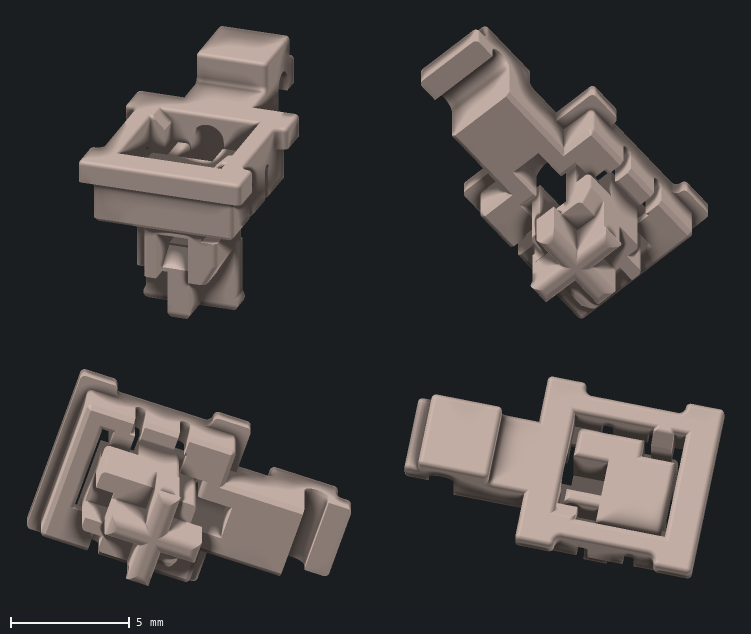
import cadquery as cq
EDGE = 0.2
BOTTOM_CHAMFER = 0.19

TINY = 0.001

PLATE_HALF_X = 3.65
PLATE_SOUTH = -4.45
PLATE_NORTH = 3.16
PLATE_TOP = 7.99
PLATE_BOTTOM = 6.99

SKIRT_HALF_X = 3.15
SKIRT_SOUTH = -4.0
SKIRT_NORTH = 2.66
SKIRT_BOTTOM = 5.0

WAIST_SOUTH = -2.8
WAIST_NORTH = 1.5
WAIST_RADIUS = PLATE_HALF_X - EDGE - SKIRT_HALF_X

ARM_HALF_X = 1.6
ARM_NORTH = 6.21
ARM_TOP = 9.3
BUTTON_SOUTH = 4.72
BUTTON_NORTH = 7.76
LIP_NORTH = 8.35
LIP_TOP = 8.14
LIP_BOTTOM = 6.9
PIVOT_NORTH = 7.3
PIVOT_RADIUS = (PIVOT_NORTH - ARM_NORTH) / 2
PIVOT_Z = 7.45

POCKET_HALF_X = 2.25
POCKET_SOUTH = -3.05
POCKET_NORTH = 1.74

HOOK_TIP = 1.61
HOOK_TIP_Z = 7.4
EAST_HOOK_SOUTH = -2.55
EAST_HOOK_NORTH = -1.66
WEST_HOOK_SOUTH = 0.85

NE_STOP_WEST = 1.48
NE_STOP_SOUTH = 0.69
SW_STOP_EAST = -1.47
SW_STOP_NORTH = -2.0
STOP_TOP = 5.5

SLIT_WIDTH = 0.49
SLIT_TOP = 6.73
SLIT_CENTRES = (0.35, -1.64)

ARCH_HALF_X = 0.72
ARCH_TOP = 7.49
ARCH_DEPTH = 1.54

HEAD_HALF_X = 1.98
HEAD_SOUTH = -2.8
HEAD_NORTH = 1.5
HEAD_BOTTOM = 2.21
HEAD_TOP = 6.68
SHELF_Z = 4.2
CEILING_Z = 5.76
NOTCH_X = 1.29
SE_NOTCH_NORTH = -1.32
SW_NOTCH_NORTH = -1.82
NE_NOTCH_SOUTH = 0.52

CORNER_CUT_X = 1.5
CORNER_CUT_Z = 3.08

SLOT_HALF_X = 0.72
WINDOW_TOP = 4.29
FLOOR_Z = 3.15
RAMP_TOP = 3.05
RAMP_FOOT = 2.4
RAMP_NORTH = -1.13

BAR_X_HALF_WIDTH = 0.5
BAR_Y_HALF_WIDTH = 0.49
BAR_Y_HALF_LENGTH = 2.01
FLARE_HALF_X = 2.1
FLARE_START = 0.77
STEM_ROUND = 0.38


def block(x0, x1, y0, y1, z0, z1):
    """Box between two opposite corners."""
    return cq.Workplane("XY").box(x1 - x0, y1 - y0, z1 - z0, centered=False).translate((x0, y0, z0))


def same(a, b):
    """Whether two positions coincide."""
    return abs(a - b) < TINY


def round_edges(solid, keep):
    """Round the edges whose centre point passes the test."""
    chosen = [edge for edge in solid.edges().vals() if keep(edge.Center())]
    return solid.newObject(chosen).fillet(EDGE)


def make_plate():
    """Top plate with a waist in each long side."""
    plate = (
        block(-PLATE_HALF_X, PLATE_HALF_X, PLATE_SOUTH, PLATE_NORTH, PLATE_BOTTOM, PLATE_TOP)
        .edges("|Z")
        .fillet(EDGE)
    )
    waist = (
        cq.Workplane("XY", origin=(0, 0, PLATE_BOTTOM))
        .moveTo(PLATE_HALF_X, WAIST_NORTH + EDGE)
        .radiusArc((PLATE_HALF_X - EDGE, WAIST_NORTH), EDGE)
        .radiusArc((SKIRT_HALF_X, WAIST_NORTH - WAIST_RADIUS), -WAIST_RADIUS)
        .lineTo(SKIRT_HALF_X, WAIST_SOUTH + WAIST_RADIUS)
        .radiusArc((PLATE_HALF_X - EDGE, WAIST_SOUTH), -WAIST_RADIUS)
        .radiusArc((PLATE_HALF_X, WAIST_SOUTH - EDGE), EDGE)
        .close()
        .extrude(PLATE_TOP - PLATE_BOTTOM)
    )
    plate = plate.cut(waist).cut(waist.mirror("YZ"))
    return plate.faces(">Z").edges().fillet(EDGE)


def make_skirt():
    """Block under the plate."""
    return (
        block(-SKIRT_HALF_X, SKIRT_HALF_X, SKIRT_SOUTH, SKIRT_NORTH, SKIRT_BOTTOM, PLATE_TOP - EDGE)
        .edges("|Z")
        .fillet(EDGE)
        .faces("<Z")
        .edges()
        .chamfer(BOTTOM_CHAMFER)
    )


def make_arm():
    """Arm with the raised button and the pivot slot; its root lies inside the plate and skirt."""
    root = SKIRT_NORTH - EDGE
    profile = (
        cq.Workplane("YZ", origin=(-ARM_HALF_X, 0, 0))
        .moveTo(root, SKIRT_BOTTOM)
        .lineTo(ARM_NORTH, SKIRT_BOTTOM)
        .lineTo(ARM_NORTH, PIVOT_Z)
        .threePointArc((ARM_NORTH + PIVOT_RADIUS, PIVOT_Z + PIVOT_RADIUS), (PIVOT_NORTH, PIVOT_Z))
        .lineTo(PIVOT_NORTH, LIP_BOTTOM)
        .lineTo(LIP_NORTH, LIP_BOTTOM)
        .lineTo(LIP_NORTH, LIP_TOP)
        .lineTo(BUTTON_NORTH + EDGE, LIP_TOP)
        .radiusArc((BUTTON_NORTH, LIP_TOP + EDGE), EDGE)
        .lineTo(BUTTON_NORTH, ARM_TOP)
        .lineTo(BUTTON_SOUTH, ARM_TOP)
        .lineTo(BUTTON_SOUTH, PLATE_TOP + EDGE)
        .radiusArc((BUTTON_SOUTH - EDGE, PLATE_TOP), EDGE)
        .lineTo(root, PLATE_TOP)
        .close()
    )
    arm = profile.extrude(2 * ARM_HALF_X)

    def is_rounded(c):
        on_side = same(abs(c.x), ARM_HALF_X)
        on_tip = same(c.y, LIP_NORTH)
        if on_side:
            return on_tip or c.z > PLATE_TOP - TINY
        return same(c.z, ARM_TOP) or (on_tip and same(c.z, LIP_TOP))

    arm = round_edges(arm, is_rounded)
    return arm.faces("<Z").edges("|Y").chamfer(BOTTOM_CHAMFER)


def cut_pocket(housing):
    """Rectangular opening through the plate and skirt, rounded at both rims."""
    pocket = block(
        -POCKET_HALF_X, POCKET_HALF_X, POCKET_SOUTH, POCKET_NORTH, SKIRT_BOTTOM, PLATE_TOP
    )
    housing = housing.cut(pocket)

    def is_rim(c):
        in_width = abs(c.x) < POCKET_HALF_X + TINY
        in_length = POCKET_SOUTH - TINY < c.y < POCKET_NORTH + TINY
        at_rim = same(c.z, PLATE_TOP) or same(c.z, SKIRT_BOTTOM)
        return in_width and in_length and at_rim

    return round_edges(housing, is_rim)


def cut_slits(housing):
    """Round-topped slits through the two side walls."""
    radius = SLIT_WIDTH / 2
    straight_top = SLIT_TOP - radius
    for y in SLIT_CENTRES:
        slit = block(-SKIRT_HALF_X, SKIRT_HALF_X, y - radius, y + radius, SKIRT_BOTTOM, straight_top)
        tip = (
            cq.Workplane("YZ", origin=(-SKIRT_HALF_X, y, straight_top))
            .circle(radius)
            .extrude(2 * SKIRT_HALF_X)
        )
        housing = housing.cut(slit).cut(tip)
    return housing


def cut_arch(housing):
    """Arched recess in the north wall of the pocket, open at the bottom."""
    straight_top = ARCH_TOP - ARCH_HALF_X
    back = POCKET_NORTH + ARCH_DEPTH
    recess = block(-ARCH_HALF_X, ARCH_HALF_X, POCKET_NORTH, back, SKIRT_BOTTOM, straight_top)
    crown = cq.Workplane("XZ", origin=(0, back, straight_top)).circle(ARCH_HALF_X).extrude(ARCH_DEPTH)
    return housing.cut(recess).cut(crown)


def add_stops(housing):
    """Low corner stops, carried into the walls past the rounded bottom rim."""
    wall_x = POCKET_HALF_X + EDGE
    wall_north = POCKET_NORTH + EDGE
    wall_south = POCKET_SOUTH - EDGE
    north_east = block(NE_STOP_WEST, wall_x, NE_STOP_SOUTH, wall_north, SKIRT_BOTTOM, STOP_TOP)
    south_west = block(-wall_x, SW_STOP_EAST, wall_south, SW_STOP_NORTH, SKIRT_BOTTOM, STOP_TOP)
    return housing.union(north_east).union(south_west)


def make_hook(south, north, rounded_edges):
    """Hook on the east wall; its top edge and the selected side edges are rounded."""
    root = POCKET_HALF_X + EDGE
    crest = HOOK_TIP + PLATE_TOP - HOOK_TIP_Z
    ramp = (
        cq.Workplane("XZ", origin=(0, north, 0))
        .moveTo(HOOK_TIP, SKIRT_BOTTOM)
        .lineTo(HOOK_TIP, HOOK_TIP_Z)
        .lineTo(crest, PLATE_TOP)
        .lineTo(root, PLATE_TOP)
        .lineTo(root, SKIRT_BOTTOM)
        .close()
        .extrude(north - south)
    )
    ramp = round_edges(ramp, lambda c: same(c.x, crest) and same(c.z, PLATE_TOP))
    envelope = block(0, root, south, north, SKIRT_BOTTOM, PLATE_TOP)
    return ramp.intersect(envelope.edges(rounded_edges).fillet(EDGE))


def add_hooks(housing):
    """East hook, and the west hook that runs into the north wall."""
    east = make_hook(EAST_HOOK_SOUTH, EAST_HOOK_NORTH, "|X and >Z")
    west = make_hook(WEST_HOOK_SOUTH, POCKET_NORTH + EDGE, "|X and >Z and <Y").mirror("YZ")
    return housing.union(east).union(west)


def make_housing():
    """Plate, skirt and arm in one piece, with the pocket and the catches in it."""
    housing = make_plate().union(make_skirt()).union(make_arm())
    housing = cut_pocket(housing)
    housing = cut_slits(housing)
    housing = cut_arch(housing)
    housing = add_stops(housing)
    return add_hooks(housing)


def make_head_base():
    """Lower part of the head, up to the shelves, with two diagonal lower corners."""
    base = block(-HEAD_HALF_X, HEAD_HALF_X, HEAD_SOUTH, HEAD_NORTH, HEAD_BOTTOM, SHELF_Z)
    for side, y0, y1 in ((1, HEAD_SOUTH, -BAR_X_HALF_WIDTH), (-1, BAR_X_HALF_WIDTH, HEAD_NORTH)):
        corner = (
            cq.Workplane("XZ", origin=(0, y1, 0))
            .moveTo(side * HEAD_HALF_X, HEAD_BOTTOM)
            .lineTo(side * CORNER_CUT_X, HEAD_BOTTOM)
            .lineTo(side * HEAD_HALF_X, CORNER_CUT_Z)
            .close()
            .extrude(y1 - y0)
        )
        base = base.cut(corner)

    def is_upright_corner(c):
        inside_height = HEAD_BOTTOM + TINY < c.z < SHELF_Z - TINY
        south_east = c.x > CORNER_CUT_X and same(c.y, HEAD_SOUTH)
        north_west = c.x < -CORNER_CUT_X and same(c.y, HEAD_NORTH)
        return inside_height and (south_east or north_west)

    return round_edges(base, is_upright_corner)


def make_main_block():
    """South half of the head above the shelf level, with the south-east notch."""
    main = block(-HEAD_HALF_X, HEAD_HALF_X, HEAD_SOUTH, 0, SHELF_Z, HEAD_TOP)
    main = main.edges("|Z and <Y").edges("<X").fillet(EDGE)
    main = main.cut(block(NOTCH_X, HEAD_HALF_X, HEAD_SOUTH, SE_NOTCH_NORTH, SHELF_Z, HEAD_TOP))
    return round_edges(main, lambda c: same(c.z, HEAD_TOP) and not same(c.y, 0))


def make_north_posts():
    """Thin wall beside the north-west notch and the post in the north-east corner."""
    wall = block(-NOTCH_X, -SLOT_HALF_X, 0, HEAD_NORTH, SHELF_Z, HEAD_TOP)
    post = block(SLOT_HALF_X, HEAD_HALF_X, 0, HEAD_NORTH, SHELF_Z, HEAD_TOP)
    post = post.edges("|Z and >X and >Y").fillet(EDGE)

    def is_top_edge(c):
        return same(c.z, HEAD_TOP) and not same(c.y, 0)

    return round_edges(wall, is_top_edge).union(round_edges(post, is_top_edge))


def cut_low_notch(head, side, inner_y, outer_y):
    """Cut a corner away below the ceiling and round its outer edges."""
    inner_x = side * NOTCH_X
    outer_x = side * HEAD_HALF_X
    xs = sorted((inner_x, outer_x))
    ys = sorted((inner_y, outer_y))
    head = head.cut(block(*xs, *ys, HEAD_BOTTOM, CEILING_Z))

    def is_outer_edge(c):
        in_x = xs[0] - TINY < c.x < xs[1] + TINY
        in_y = ys[0] - TINY < c.y < ys[1] + TINY
        on_inner_x = same(c.x, inner_x)
        on_inner_y = same(c.y, inner_y)
        if not (in_x and in_y):
            return False
        if same(c.z, CEILING_Z):
            return not on_inner_x and not on_inner_y
        upright = HEAD_BOTTOM + TINY < c.z < CEILING_Z - TINY
        return upright and on_inner_x != on_inner_y

    return round_edges(head, is_outer_edge)


def cut_window(head):
    """Slot down the north side that joins a window in the south side over a ramp."""
    profile = (
        cq.Workplane("YZ", origin=(-SLOT_HALF_X, 0, 0))
        .moveTo(HEAD_SOUTH, HEAD_BOTTOM)
        .lineTo(-BAR_Y_HALF_LENGTH, HEAD_BOTTOM)
        .lineTo(-BAR_Y_HALF_LENGTH, RAMP_FOOT)
        .lineTo(RAMP_NORTH, RAMP_TOP)
        .lineTo(RAMP_NORTH, FLOOR_Z)
        .lineTo(HEAD_NORTH, FLOOR_Z)
        .lineTo(HEAD_NORTH, HEAD_TOP)
        .lineTo(0, HEAD_TOP)
        .lineTo(0, WINDOW_TOP)
        .lineTo(HEAD_SOUTH, WINDOW_TOP)
        .close()
    )
    return head.cut(profile.extrude(2 * SLOT_HALF_X))


def make_bar_x():
    """Stem bar along X; its ends swell out over a hollow curve and roll under in one round."""
    round_x = FLARE_HALF_X - STEM_ROUND
    rise = FLARE_START - STEM_ROUND
    step = HEAD_HALF_X - round_x
    hollow = (step**2 + rise**2 - STEM_ROUND**2) / (2 * (STEM_ROUND - step))
    share = STEM_ROUND / (STEM_ROUND + hollow)
    join = (round_x + share * (step + hollow), STEM_ROUND + share * rise)
    half = (
        cq.Workplane("XZ", origin=(0, BAR_X_HALF_WIDTH, 0))
        .moveTo(0, 0)
        .lineTo(round_x, 0)
        .radiusArc((FLARE_HALF_X, STEM_ROUND), -STEM_ROUND)
        .radiusArc(join, -STEM_ROUND)
        .radiusArc((HEAD_HALF_X, FLARE_START), hollow)
        .lineTo(HEAD_HALF_X, CORNER_CUT_Z)
        .lineTo(0, CORNER_CUT_Z)
        .close()
        .extrude(2 * BAR_X_HALF_WIDTH)
    )
    envelope = block(
        -FLARE_HALF_X, FLARE_HALF_X, -BAR_X_HALF_WIDTH, BAR_X_HALF_WIDTH, 0, CORNER_CUT_Z
    )
    return half.union(half.mirror("YZ")).intersect(envelope.edges("|X and <Z").fillet(STEM_ROUND))


def make_bar_y():
    """Stem bar along Y, with all its bottom edges rounded."""
    bar = block(
        -BAR_Y_HALF_WIDTH, BAR_Y_HALF_WIDTH, -BAR_Y_HALF_LENGTH, BAR_Y_HALF_LENGTH, 0, HEAD_BOTTOM
    )
    return bar.faces("<Z").edges().fillet(STEM_ROUND)


def make_slider():
    """Notched head on a cross-shaped stem."""
    head = make_head_base().union(make_main_block()).union(make_north_posts())
    head = cut_low_notch(head, -1, SW_NOTCH_NORTH, HEAD_SOUTH)
    head = cut_low_notch(head, 1, NE_NOTCH_SOUTH, HEAD_NORTH)
    head = cut_window(head)
    return head.union(make_bar_x()).union(make_bar_y())


housing = make_housing()
slider = make_slider()
result = cq.Compound.makeCompound([housing.val(), slider.val()])